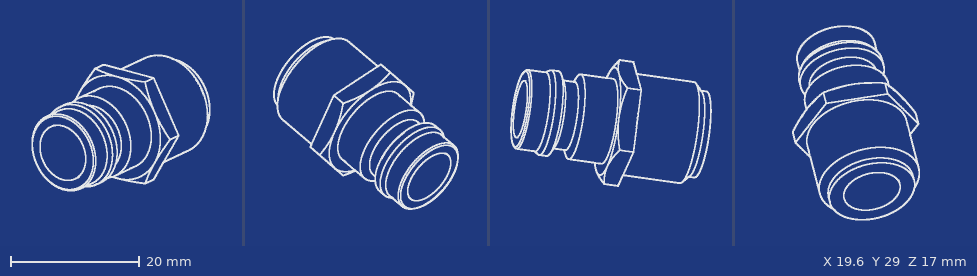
import cadquery as cq
import math

length = 29.0
nose_chamfer = 0.25
nose_end = 3.22
collar_start = 4.0
collar_end = 5.2
groove_start = 5.92
groove_end = 8.0
neck_start = 8.73
hex_start = 14.0
hex_end = 17.0
body_end = 26.82
tail_start = 27.98

bore_diameter = 9.0
nose_diameter = 12.5
collar_diameter = 13.43
groove_diameter = 10.8
body_diameter = 16.0
tail_diameter = 13.63

across_flats = 17.0
across_corners = across_flats / math.cos(math.radians(30))
hex_chamfer_angle = 30.0


def revolve_about_axis(profile):
    """Turn a closed (radius, distance) profile about the Y axis."""
    return cq.Workplane("XY").polyline(profile).close().revolve(360, (0, 0, 0), (0, 1, 0))


def turned_body():
    nose_radius = nose_diameter / 2
    collar_radius = collar_diameter / 2
    groove_radius = groove_diameter / 2
    body_radius = body_diameter / 2
    tail_radius = tail_diameter / 2
    return revolve_about_axis([
        (0, 0),
        (nose_radius - nose_chamfer, 0),
        (nose_radius, nose_chamfer),
        (nose_radius, nose_end),
        (collar_radius, collar_start),
        (collar_radius, collar_end),
        (groove_radius, groove_start),
        (groove_radius, groove_end),
        (collar_radius, neck_start),
        (collar_radius, hex_start),
        (body_radius, hex_end),
        (body_radius, body_end),
        (tail_radius, tail_start),
        (tail_radius, length),
        (0, length),
    ])


def hexagon():
    """Hexagon with its corners chamfered on the nose side only."""
    prism = (
        cq.Workplane("XZ", origin=(0, hex_start, 0))
        .polygon(6, across_corners)
        .extrude(hex_start - hex_end)
    )
    flat_radius = across_flats / 2
    corner_radius = across_corners / 2
    chamfer_depth = (corner_radius - flat_radius) * math.tan(math.radians(hex_chamfer_angle))
    chamfer_envelope = revolve_about_axis([
        (0, hex_start),
        (flat_radius, hex_start),
        (corner_radius, hex_start + chamfer_depth),
        (corner_radius, hex_end),
        (0, hex_end),
    ])
    return prism.intersect(chamfer_envelope)


def bore():
    return cq.Workplane("XZ").circle(bore_diameter / 2).extrude(-length)


result = turned_body().union(hexagon()).cut(bore())